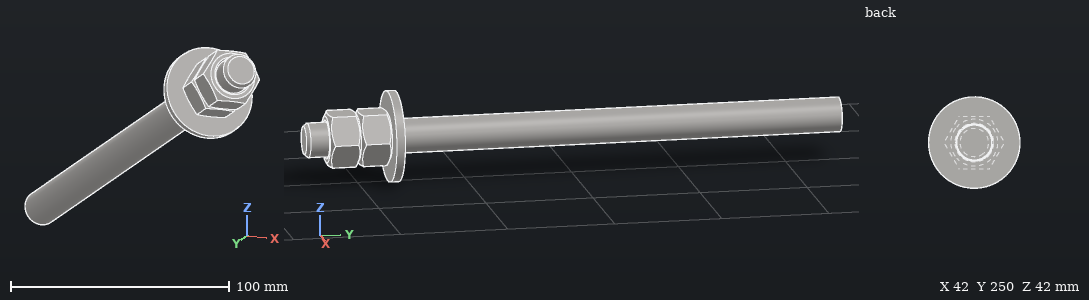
import cadquery as cq
import math

rod_length = 250.0
rod_diameter = 16.0
tip_diameter = 13.0
tip_chamfer_length = 1.8
tip_y = -rod_length / 2

washer_diameter = 42.0
washer_hole_diameter = 17.0
washer_thickness = 4.0

nut_count = 2
nut_width = 24.0
nut_height = 14.5
nut_face_diameter = 21.5
nut_chamfer_angle = 30.0
nut_countersink_diameter = 17.8
tip_protrusion = 10.2

nut_corner_diameter = nut_width / math.cos(math.radians(30))
nuts_start_y = tip_y + tip_protrusion
washer_y = nuts_start_y + nut_count * nut_height


def revolve_about_y(points):
    """Revolve a closed (radius, y) outline around the Y axis."""
    return cq.Workplane("XY").polyline(points).close().revolve(360, (0, 0), (0, 1))


def make_rod():
    """Plain at the +Y end, chamfered at the -Y tip."""
    rod_radius = rod_diameter / 2
    return revolve_about_y([
        (0, tip_y),
        (tip_diameter / 2, tip_y),
        (rod_radius, tip_y + tip_chamfer_length),
        (rod_radius, tip_y + rod_length),
        (0, tip_y + rod_length),
    ])


def make_washer():
    """Flat ring seated against the inner nut, with clearance around the rod."""
    inner_radius = washer_hole_diameter / 2
    outer_radius = washer_diameter / 2
    return revolve_about_y([
        (inner_radius, washer_y),
        (outer_radius, washer_y),
        (outer_radius, washer_y + washer_thickness),
        (inner_radius, washer_y + washer_thickness),
    ])


def make_nut(start_y):
    """Hex nut with chamfered corners and a countersunk bore at both faces."""
    end_y = start_y + nut_height
    hexagon = (
        cq.Workplane("XZ", origin=(0, end_y, 0))
        .polygon(6, nut_corner_diameter)
        .extrude(nut_height)
    )
    bore_radius = rod_diameter / 2
    countersink_radius = nut_countersink_diameter / 2
    countersink_depth = countersink_radius - bore_radius
    face_radius = nut_face_diameter / 2
    corner_radius = nut_corner_diameter / 2
    corner_drop = (corner_radius - face_radius) * math.tan(math.radians(nut_chamfer_angle))
    turned_ring = revolve_about_y([
        (bore_radius, start_y + countersink_depth),
        (countersink_radius, start_y),
        (face_radius, start_y),
        (corner_radius, start_y + corner_drop),
        (corner_radius, end_y - corner_drop),
        (face_radius, end_y),
        (countersink_radius, end_y),
        (bore_radius, end_y - countersink_depth),
    ])
    return hexagon.intersect(turned_ring).solids()


rod = make_rod()
washer = make_washer()
nuts = []
for index in range(nut_count):
    nuts.append(make_nut(nuts_start_y + index * nut_height))

result = cq.Compound.makeCompound([rod.val(), washer.val(), *[nut.val() for nut in nuts]])